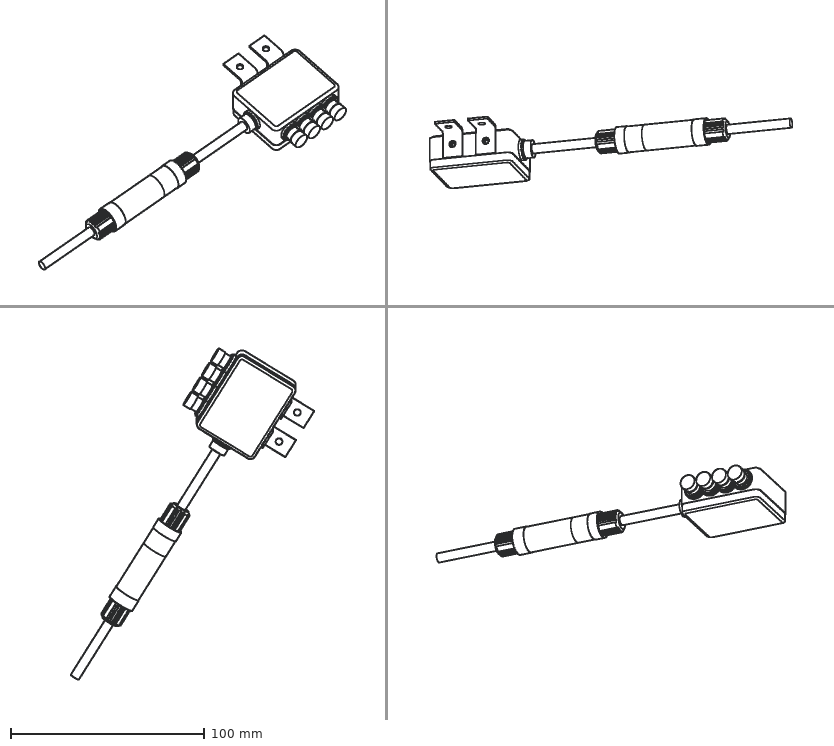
import cadquery as cq
import math

TOTAL_LENGTH = 191.4

BOX_WIDTH = 35.4
BOX_LENGTH = 45.2
SHELL_HEIGHT = 13.4
BASE_HEIGHT = 5.0
BOX_TOP = SHELL_HEIGHT / 2
SEAM_Z = -SHELL_HEIGHT / 2
BOX_BOTTOM = SEAM_Z - BASE_HEIGHT
CORNER_RADIUS = 3.0
TOP_CHAMFER_IN = 2.0
TOP_CHAMFER_DOWN = 1.1
BASE_INSET = 0.29
BASE_CHAMFER_IN = 1.5
BASE_CHAMFER_UP = 0.8

BRACKET_REACH = 15.0
BRACKET_WIDTH = 10.5
BRACKET_PITCH = 18.0
BRACKET_RISE = 2.0
BRACKET_TOP = BOX_TOP + BRACKET_RISE
BRACKET_THICKNESS = 1.1
BEND_RADIUS = 2.3
MOUNT_HOLE_DIAMETER = 3.5
MOUNT_HOLE_OFFSET = 7.8
SCREW_HOLE_DIAMETER = 2.1
SCREW_HOLE_DEPTH = 1.1
SCREW_Z = 0.4

SOCKET_COUNT = 4
SOCKET_PITCH = 9.0
NECK_DIAMETER = 7.3
NECK_END = 5.7
TIP_DIAMETER = 8.0
SOCKET_LENGTH = 9.8

NUT_DIAMETER = 11.0
NUT_THICKNESS = 2.3
NUT_CHAMFER = 0.8
NUT_NOTCHES = 16
NUT_NOTCH_WIDTH = 0.8
NUT_NOTCH_DEPTH = 0.5
NUT_NOTCH_LENGTH = 1.0

GLAND_DIAMETER = 9.2
GLAND_LENGTH = 6.3

CABLE_DIAMETER = 5.0
CABLE_END_Y = BOX_LENGTH - TOTAL_LENGTH
GRIP_DIAMETER = 11.9
GRIP_LENGTH = 11.1
GRIP_CHAMFER_IN = 1.5
GRIP_CHAMFER_LENGTH = 1.3
GROOVE_GROUPS = 4
GROOVES_PER_GROUP = 3
GROOVE_ANGLE = 11.5
GROOVE_DEPTH = 0.5
COLLAR_DIAMETER = 14.0
BARREL_DIAMETER = 13.5
PLUG_GRIP_Y = -41.3
PLUG_COLLAR_LENGTH = 5.4
COUPLING_SEAM_Y = -67.4
SOCKET_GRIP_Y = -112.0
SOCKET_COLLAR_LENGTH = 6.5


def rounded_block(inset, bottom, top):
    """Box outline shrunk by `inset` on every side, from `bottom` to `top`."""
    return (
        cq.Workplane("XY", origin=(0, BOX_LENGTH / 2, bottom))
        .rect(BOX_WIDTH - 2 * inset, BOX_LENGTH - 2 * inset)
        .extrude(top - bottom)
        .edges("|Z")
        .fillet(CORNER_RADIUS - inset)
    )


def make_box():
    shell = rounded_block(0, SEAM_Z, BOX_TOP)
    shell = shell.faces(">Z").chamfer(TOP_CHAMFER_DOWN, TOP_CHAMFER_IN)
    base = rounded_block(BASE_INSET, BOX_BOTTOM, SEAM_Z)
    base = base.faces("<Z").chamfer(BASE_CHAMFER_UP, BASE_CHAMFER_IN)
    return shell.union(base)


def make_bracket(center_y):
    """Angle bracket: a strip up the wall, bent outwards over a rounded corner."""
    wall_x = -BOX_WIDTH / 2
    tip_x = wall_x - BRACKET_REACH
    inner_radius = BEND_RADIUS - BRACKET_THICKNESS
    bend_x = wall_x - BEND_RADIUS
    bend_z = BRACKET_TOP - BEND_RADIUS
    bracket = (
        cq.Workplane("XZ", origin=(0, center_y + BRACKET_WIDTH / 2, 0))
        .moveTo(wall_x, SEAM_Z)
        .lineTo(wall_x, bend_z)
        .radiusArc((bend_x, BRACKET_TOP), -BEND_RADIUS)
        .lineTo(tip_x, BRACKET_TOP)
        .lineTo(tip_x, BRACKET_TOP - BRACKET_THICKNESS)
        .lineTo(bend_x, BRACKET_TOP - BRACKET_THICKNESS)
        .radiusArc((bend_x + inner_radius, bend_z), inner_radius)
        .lineTo(wall_x - BRACKET_THICKNESS, SEAM_Z)
        .close()
        .extrude(BRACKET_WIDTH)
    )
    mount_hole = (
        cq.Workplane("XY", origin=(wall_x - MOUNT_HOLE_OFFSET, center_y, BRACKET_TOP))
        .circle(MOUNT_HOLE_DIAMETER / 2)
        .extrude(-BRACKET_THICKNESS)
    )
    return bracket.cut(mount_hole)


def make_screw_hole(center_y):
    """Clearance hole through the bracket and a smaller pilot hole in the box wall."""
    wall = cq.Workplane("YZ", origin=(-BOX_WIDTH / 2, center_y, SCREW_Z))
    clearance = wall.circle(MOUNT_HOLE_DIAMETER / 2).extrude(-BRACKET_THICKNESS)
    pilot = wall.circle(SCREW_HOLE_DIAMETER / 2).extrude(SCREW_HOLE_DEPTH)
    return clearance.union(pilot)


def make_nut():
    """Knurled nut on the XY plane, chamfered and notched around its outer end."""
    nut = cq.Workplane("XY").circle(NUT_DIAMETER / 2).extrude(NUT_THICKNESS)
    nut = nut.faces(">Z").chamfer(NUT_CHAMFER)
    notches = (
        cq.Workplane("XY", origin=(0, 0, NUT_THICKNESS))
        .polarArray(NUT_DIAMETER / 2, 0, 360, NUT_NOTCHES)
        .rect(2 * NUT_NOTCH_DEPTH, NUT_NOTCH_WIDTH)
        .extrude(-NUT_NOTCH_LENGTH)
    )
    return nut.cut(notches)


def make_socket(center_y):
    socket = make_nut()
    socket = socket.union(cq.Workplane("XY").circle(NECK_DIAMETER / 2).extrude(NECK_END))
    tip = (
        cq.Workplane("XY", origin=(0, 0, NECK_END))
        .circle(TIP_DIAMETER / 2)
        .extrude(SOCKET_LENGTH - NECK_END)
    )
    socket = socket.union(tip).rotate((0, 0, 0), (0, 1, 0), 90)
    return socket.translate((BOX_WIDTH / 2, center_y, 0))


def make_gland():
    gland = make_nut()
    gland = gland.union(cq.Workplane("XY").circle(GLAND_DIAMETER / 2).extrude(GLAND_LENGTH))
    return gland.rotate((0, 0, 0), (1, 0, 0), 90)


def make_housing():
    housing = make_box().union(make_gland())
    middle_y = BOX_LENGTH / 2
    for side in (-1, 1):
        center_y = middle_y + side * BRACKET_PITCH / 2
        housing = housing.union(make_bracket(center_y)).cut(make_screw_hole(center_y))
    for index in range(SOCKET_COUNT):
        offset = (index - (SOCKET_COUNT - 1) / 2) * SOCKET_PITCH
        housing = housing.union(make_socket(middle_y + offset))
    return housing


def make_groove(angle, start_y, end_y):
    """Cutter for one flute of a grip, `angle` degrees around Y from +Z."""
    radius = GRIP_DIAMETER / 2
    width = 2 * radius * math.sin(math.radians(GROOVE_ANGLE / 2))
    cutter = cq.Workplane("XY").box(width, abs(end_y - start_y), 2 * GROOVE_DEPTH)
    cutter = cutter.translate((0, (start_y + end_y) / 2, radius))
    return cutter.rotate((0, 0, 0), (0, 1, 0), angle)


def make_cable_half(cable_y, grip_y, collar_length):
    """Cable with its coupling half, from the free cable end to the coupling seam."""
    direction = math.copysign(1, COUPLING_SEAM_Y - grip_y)
    collar_y = grip_y + direction * GRIP_LENGTH
    barrel_y = collar_y + direction * collar_length
    cable_radius = CABLE_DIAMETER / 2
    grip_radius = GRIP_DIAMETER / 2
    collar_radius = COLLAR_DIAMETER / 2
    barrel_radius = BARREL_DIAMETER / 2
    profile = [
        (0, cable_y),
        (cable_radius, cable_y),
        (cable_radius, grip_y),
        (grip_radius - GRIP_CHAMFER_IN, grip_y),
        (grip_radius, grip_y + direction * GRIP_CHAMFER_LENGTH),
        (grip_radius, collar_y),
        (collar_radius, collar_y),
        (collar_radius, barrel_y),
        (barrel_radius, barrel_y),
        (barrel_radius, COUPLING_SEAM_Y),
        (0, COUPLING_SEAM_Y),
    ]
    half = cq.Workplane("XY").polyline(profile).close().revolve(360, (0, 0, 0), (0, 1, 0))
    for group in range(GROOVE_GROUPS):
        for index in range(GROOVES_PER_GROUP):
            step = index - (GROOVES_PER_GROUP - 1) / 2
            angle = group * 360 / GROOVE_GROUPS + step * 2 * GROOVE_ANGLE
            half = half.cut(make_groove(angle, grip_y, collar_y))
    return half


housing = make_housing()
plug_cable = make_cable_half(-GLAND_LENGTH, PLUG_GRIP_Y, PLUG_COLLAR_LENGTH)
socket_cable = make_cable_half(CABLE_END_Y, SOCKET_GRIP_Y, SOCKET_COLLAR_LENGTH)

result = cq.Compound.makeCompound([housing.val(), plug_cable.val(), socket_cable.val()])